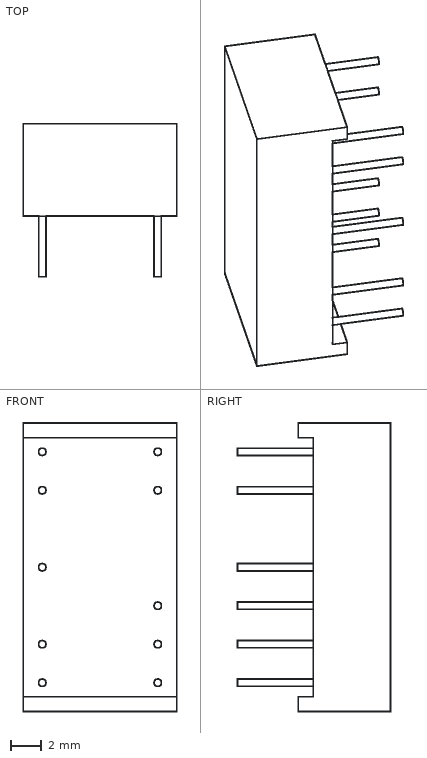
import cadquery as cq

width = 10.15
height = 19.06
overall_depth = 10.1
pin_length = 5.0
rim_thickness = 1.0
rim_depth = 1.0
floor_depth = overall_depth - pin_length
case_depth = floor_depth + rim_depth

pin_diameter = 0.5
column_spacing = 7.62
pitch = column_spacing / 3
left_pin_rows = [-3, -2, 0, 2, 3]
right_pin_rows = [-3, -2, -1, 2, 3]

back_y = overall_depth / 2
floor_y = back_y - floor_depth


def make_case():
    """Block open across its full width on the pin side, leaving a rim at each end."""
    block = cq.Workplane("XY").box(width, case_depth, height)
    block = block.translate((0, back_y - case_depth / 2, 0))
    recess = cq.Workplane("XY").box(width, rim_depth, height - 2 * rim_thickness)
    recess = recess.translate((0, floor_y - rim_depth / 2, 0))
    return block.cut(recess)


def add_pins(case, column_x, rows):
    """Round pins standing on the recess floor and pointing toward -Y."""
    centers = [(column_x, row * pitch) for row in rows]
    pins = (
        cq.Workplane("XZ", origin=(0, floor_y, 0))
        .pushPoints(centers)
        .circle(pin_diameter / 2)
        .extrude(pin_length)
    )
    return case.union(pins)


result = make_case()
result = add_pins(result, -column_spacing / 2, left_pin_rows)
result = add_pins(result, column_spacing / 2, right_pin_rows)